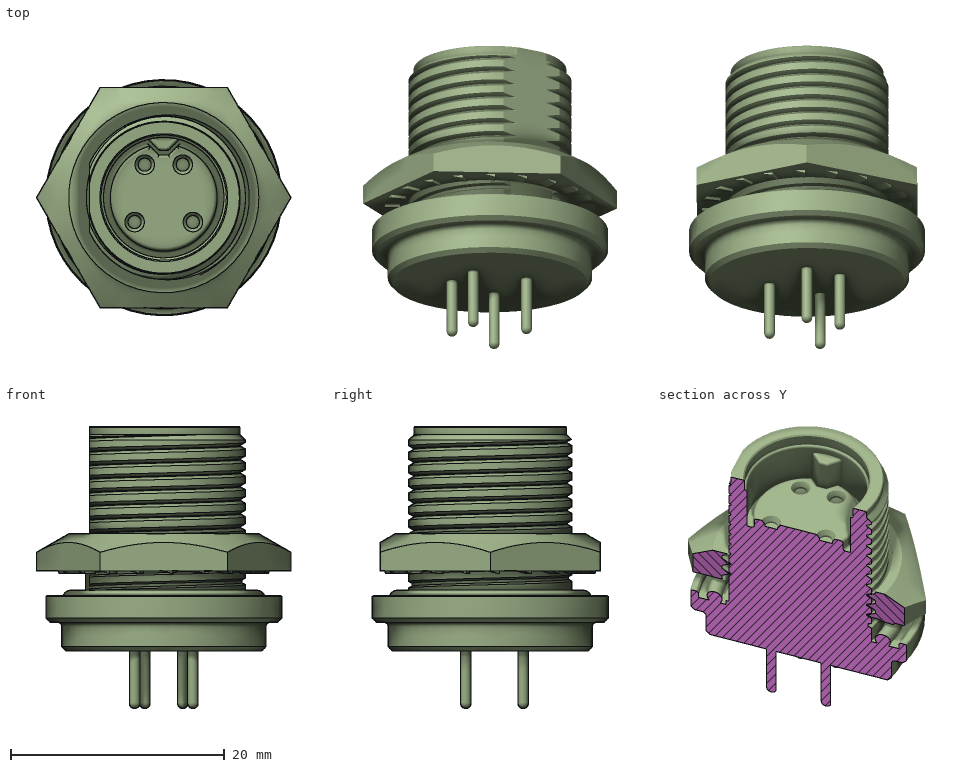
import cadquery as cq
import math


base_radius = 9.57
base_chamfer = 0.42
flange_radius = 11.05
flange_bottom = 2.7
flange_top = 5.2
flange_chamfer = 0.4
flange_top_chamfer = 0.1
flange_neck_fillet = 0.4
housing_top = 21.0
band_radius = 7.16
band_height = 0.75
top_chamfer = 0.08

seal_groove_radius = 10.27
seal_groove_chamfer = 0.17
seal_groove_bottom = 4.45
seal_radius = 8.72
seal_section_radius = 0.75
seal_height = 4.95

pitch = 1.27
thread_radius = 7.65
thread_root_radius = 7.18
thread_root_flat = 0.08
thread_half_angle = math.radians(30)
thread_phase = 0.18
thread_start = thread_phase + 4.5 * pitch
thread_start_angle = 180
thread_turns = 12
cutter_overrun = 0.3

flat_distance = 6.97
collar_radius = 7.34

mouth_radius = 5.98
mouth_chamfer = 0.12
mouth_wall_radius = mouth_radius - mouth_chamfer
ledge_height = 19.8
socket_radius = 5.64
ledge_fillet = mouth_wall_radius - socket_radius
insert_top = 16.43
insert_radius = 5.0
insert_edge_fillet = 0.3
moat_floor = insert_top - 1.2
moat_fillet = 0.25

key_tip_distance = 4.42
key_tip_half_width = 0.42
key_top = 19.0
key_fillet = 0.25
notch_tip_distance = 3.98
notch_tip_half_width = 0.45

pin_circle_radius = 3.56
pin_angles = (60, 120, 220, 320)
pin_radius = 0.5
pin_tip = -5.37
entry_radius = 0.91
entry_hole_radius = 0.61
entry_cone_depth = 0.45
entry_hole_depth = 0.65

nut_across_corners = 23.82
nut_bottom = 7.52
nut_top = 10.99
nut_height = nut_top - nut_bottom
nut_face_radius = 8.9
nut_bevel_angle = math.radians(30)
nut_minor_radius = 7.25
nut_major_radius = 8.0
thread_clearance = 0.03
tooth_count = 20
tooth_height = 0.25
tooth_inner_radius = 8.45
tooth_outer_radius = 9.84
tooth_steep_angle = 5
tooth_ramp_angle = 6


def helical_turn(inner_radius, inner_width, outer_radius, outer_width, start):
    """One right-hand turn of a helical bar with a trapezoid section, centred on `start` at angle zero."""
    section = (
        cq.Workplane("XZ")
        .moveTo(inner_radius, start - inner_width / 2)
        .lineTo(outer_radius, start - outer_width / 2)
        .lineTo(outer_radius, start + outer_width / 2)
        .lineTo(inner_radius, start + inner_width / 2)
        .close()
    )
    path = cq.Wire.makeHelix(pitch, pitch, inner_radius, center=cq.Vector(0, 0, start))
    return section.sweep(cq.Workplane(obj=path), isFrenet=True)


def cut_helix(body, turn, turns):
    """Cut a helical groove out of a body, one turn after another."""
    for index in range(turns):
        body = body.cut(turn.translate((0, 0, index * pitch)))
    return body


def flank_spread(radial_distance):
    """Change of thread width over a radial distance, both flanks together."""
    return 2 * radial_distance * math.tan(thread_half_angle)


def flange_body():
    return (
        cq.Workplane("XZ")
        .moveTo(0, 0)
        .lineTo(base_radius - base_chamfer, 0)
        .lineTo(base_radius, base_chamfer)
        .lineTo(base_radius, flange_bottom - flange_neck_fillet)
        .radiusArc((base_radius + flange_neck_fillet, flange_bottom), flange_neck_fillet)
        .lineTo(flange_radius - flange_chamfer, flange_bottom)
        .lineTo(flange_radius, flange_bottom + flange_chamfer)
        .lineTo(flange_radius, flange_top - flange_top_chamfer)
        .lineTo(flange_radius - flange_top_chamfer, flange_top)
        .lineTo(seal_groove_radius + seal_groove_chamfer, flange_top)
        .lineTo(seal_groove_radius, flange_top - seal_groove_chamfer)
        .lineTo(seal_groove_radius, seal_groove_bottom)
        .lineTo(0, seal_groove_bottom)
        .close()
        .revolve(360, (0, 0, 0), (0, 1, 0))
    )


def barrel_blank():
    thread_top = housing_top - band_height
    thread_chamfer = thread_radius - band_radius
    return (
        cq.Workplane("XZ")
        .moveTo(0, seal_groove_bottom)
        .lineTo(thread_radius, seal_groove_bottom)
        .lineTo(thread_radius, thread_top - thread_chamfer)
        .lineTo(band_radius, thread_top)
        .lineTo(band_radius, housing_top - top_chamfer)
        .lineTo(band_radius - top_chamfer, housing_top)
        .lineTo(0, housing_top)
        .close()
        .revolve(360, (0, 0, 0), (0, 1, 0))
    )


def cut_housing_thread(body):
    cutter_radius = thread_radius + cutter_overrun
    cutter_width = thread_root_flat + flank_spread(cutter_radius - thread_root_radius)
    turn = helical_turn(thread_root_radius, thread_root_flat, cutter_radius, cutter_width, thread_start)
    turn = turn.rotate((0, 0, 0), (0, 0, 1), thread_start_angle)
    return cut_helix(body, turn, thread_turns)


def barrel_flat():
    depth = thread_radius - flat_distance
    return (
        cq.Workplane("XY", origin=(-thread_radius, 0, seal_height))
        .rect(2 * depth, 2 * thread_radius)
        .extrude(housing_top - seal_height)
    )


def collar():
    return (
        cq.Workplane("XY", origin=(0, 0, seal_groove_bottom))
        .circle(collar_radius)
        .extrude(nut_bottom - seal_groove_bottom)
    )


def seal_ring():
    return (
        cq.Workplane("XZ")
        .center(seal_radius, seal_height)
        .circle(seal_section_radius)
        .revolve(360, (-seal_radius, 0, 0), (-seal_radius, 1, 0))
    )


def socket_cavity():
    return (
        cq.Workplane("XZ")
        .moveTo(0, moat_floor)
        .lineTo(socket_radius, moat_floor)
        .lineTo(socket_radius, ledge_height - ledge_fillet)
        .radiusArc((mouth_wall_radius, ledge_height), ledge_fillet)
        .lineTo(mouth_wall_radius, housing_top - mouth_chamfer)
        .lineTo(mouth_radius, housing_top)
        .lineTo(0, housing_top)
        .close()
        .revolve(360, (0, 0, 0), (0, 1, 0))
    )


def key_prism(tip_distance, tip_half_width, bottom, top):
    """Prism with a flat tip and 45 degree sides that widen towards the socket wall."""
    root_distance = (socket_radius + thread_root_radius) / 2
    root_half_width = tip_half_width + root_distance - tip_distance
    return (
        cq.Workplane("XY", origin=(0, 0, bottom))
        .moveTo(-tip_half_width, tip_distance)
        .lineTo(tip_half_width, tip_distance)
        .lineTo(root_half_width, root_distance)
        .lineTo(-root_half_width, root_distance)
        .close()
        .extrude(top - bottom)
    )


def insert():
    foot_radius = insert_radius + moat_fillet
    plateau = (
        cq.Workplane("XZ")
        .moveTo(0, moat_floor)
        .lineTo(foot_radius, moat_floor)
        .radiusArc((insert_radius, moat_floor + moat_fillet), moat_fillet)
        .lineTo(insert_radius, insert_top)
        .lineTo(0, insert_top)
        .close()
        .revolve(360, (0, 0, 0), (0, 1, 0))
    )
    plateau = plateau.cut(key_prism(notch_tip_distance, notch_tip_half_width, moat_floor, insert_top))
    return plateau.faces(">Z").edges().fillet(insert_edge_fillet)


def coding_key():
    key = key_prism(key_tip_distance, key_tip_half_width, moat_floor, key_top)
    key = key.faces(">Z").edges("not >Y").fillet(key_fillet)
    barrel_wall = cq.Workplane("XY").circle((socket_radius + band_radius) / 2).extrude(housing_top)
    return key.intersect(barrel_wall)


def at_pin_positions(shape):
    """One copy of a shape on every pin axis."""
    copies = cq.Workplane("XY")
    for angle in pin_angles:
        turn = math.radians(angle)
        place = (pin_circle_radius * math.cos(turn), pin_circle_radius * math.sin(turn), 0)
        copies = copies.add(shape.translate(place))
    return copies.vals()


def pin():
    shank_end = pin_tip + pin_radius
    return (
        cq.Workplane("XZ")
        .moveTo(0, base_chamfer)
        .lineTo(pin_radius, base_chamfer)
        .lineTo(pin_radius, shank_end)
        .radiusArc((0, pin_tip), pin_radius)
        .close()
        .revolve(360, (0, 0, 0), (0, 1, 0))
    )


def contact_entry():
    return (
        cq.Workplane("XZ")
        .moveTo(0, insert_top)
        .lineTo(entry_radius, insert_top)
        .lineTo(entry_hole_radius, insert_top - entry_cone_depth)
        .lineTo(entry_hole_radius, insert_top - entry_hole_depth)
        .lineTo(0, insert_top - entry_hole_depth)
        .close()
        .revolve(360, (0, 0, 0), (0, 1, 0))
    )


def make_housing():
    barrel = cut_housing_thread(barrel_blank()).cut(barrel_flat()).union(collar())
    floor = insert().union(coding_key())
    for entry in at_pin_positions(contact_entry()):
        floor = floor.cut(cq.Workplane(obj=entry))
    base = flange_body()
    for contact_pin in at_pin_positions(pin()):
        base = base.union(cq.Workplane(obj=contact_pin))
    return barrel.cut(socket_cavity()).union(floor).union(base).union(seal_ring())


def nut_blank():
    corner_radius = nut_across_corners / 2
    bevel_drop = (corner_radius - nut_face_radius) * math.tan(nut_bevel_angle)
    hexagon = (
        cq.Workplane("XY", origin=(0, 0, nut_bottom))
        .polygon(6, nut_across_corners)
        .circle(nut_minor_radius)
        .extrude(nut_height)
    )
    bevel = (
        cq.Workplane("XZ")
        .moveTo(0, nut_bottom)
        .lineTo(corner_radius, nut_bottom)
        .lineTo(corner_radius, nut_top - bevel_drop)
        .lineTo(nut_face_radius, nut_top)
        .lineTo(0, nut_top)
        .close()
        .revolve(360, (0, 0, 0), (0, 1, 0))
    )
    return hexagon.intersect(bevel)


def cut_nut_thread(nut):
    """Cut the nut's groove midway between the housing's grooves, from below the nut to above it."""
    inner_radius = nut_minor_radius - cutter_overrun
    ridge_width = pitch - thread_root_flat - flank_spread(inner_radius - thread_root_radius)
    inner_width = ridge_width + 2 * thread_clearance
    major_width = inner_width - flank_spread(nut_major_radius - inner_radius)
    turns_below = math.floor((nut_bottom - thread_phase) / pitch) - 1
    start = thread_phase + (turns_below + 1 / 2) * pitch
    turns = math.ceil(nut_height / pitch) + 2
    return cut_helix(nut, helical_turn(inner_radius, inner_width, nut_major_radius, major_width, start), turns)


def locking_tooth(angle):
    """Radial tooth under the nut, ramped on one side and steep on the other."""
    length = tooth_outer_radius - tooth_inner_radius
    ramp_width = tooth_outer_radius * math.tan(math.radians(tooth_ramp_angle))
    return (
        cq.Workplane("YZ", origin=(tooth_inner_radius, 0, nut_bottom))
        .moveTo(0, 0)
        .lineTo(0, -tooth_height)
        .lineTo(-ramp_width, 0)
        .close()
        .extrude(length)
        .rotate((0, 0, 0), (0, 0, 1), angle)
    )


def make_nut():
    nut = cut_nut_thread(nut_blank())
    spacing = 360 / tooth_count
    teeth = [locking_tooth(tooth_steep_angle + index * spacing).val() for index in range(tooth_count)]
    return nut.union(cq.Workplane(obj=cq.Compound.makeCompound(teeth)))


housing = make_housing()
nut = make_nut()

result = cq.Compound.makeCompound([housing.val(), nut.val()])